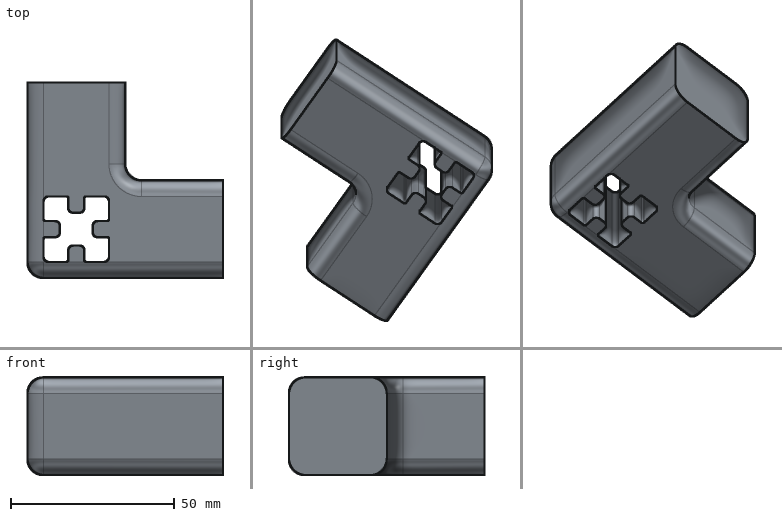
import cadquery as cq

arm_length = 60.0
arm_width = 30.0
wall = arm_width / 6
edge_radius = wall

socket_size = arm_width - 2 * wall
socket_corner_radius = 1.5
key_width = socket_size / 4
key_depth = key_width
key_tip_radius = 1.5
key_root_radius = 0.5


def make_elbow():
    """L-shaped body with rounded long edges and flat arm ends."""
    elbow = (
        cq.Workplane("XY")
        .moveTo(0, 0)
        .lineTo(arm_length, 0)
        .lineTo(arm_length, arm_width)
        .lineTo(arm_width, arm_width)
        .lineTo(arm_width, arm_length)
        .lineTo(0, arm_length)
        .close()
        .extrude(arm_width)
    )
    outer_corner = cq.selectors.NearestToPointSelector((0, 0, arm_width / 2))
    inner_corner = cq.selectors.NearestToPointSelector((arm_width, arm_width, arm_width / 2))
    elbow = elbow.edges("|Z").edges(outer_corner).fillet(edge_radius)
    elbow = elbow.edges("|Z").edges(inner_corner).fillet(edge_radius)
    long_edges = elbow.faces("<Z or >Z").edges("not(>X or >Y)")
    return long_edges.fillet(edge_radius)


def make_key():
    """Key reaching inward from the +X wall of a socket centred on the origin."""
    key = cq.Workplane("XY").rect(key_depth, key_width).extrude(arm_width)
    key = key.edges("|Z and <X").fillet(key_tip_radius)
    return key.translate((socket_size / 2 - key_depth / 2, 0, 0))


def make_socket():
    """Through-opening for a T-slot profile: a rounded square less one key per side."""
    socket = cq.Workplane("XY").rect(socket_size, socket_size).extrude(arm_width)
    socket = socket.edges("|Z").fillet(socket_corner_radius)
    for side in range(4):
        socket = socket.cut(make_key().rotate((0, 0, 0), (0, 0, 1), 90 * side))

    half_size = socket_size / 2
    half_key = key_width / 2
    for wall_place in (-half_size, half_size):
        for side_place in (-half_key, half_key):
            for x, y in ((wall_place, side_place), (side_place, wall_place)):
                root = cq.selectors.NearestToPointSelector((x, y, arm_width / 2))
                socket = socket.edges("|Z").edges(root).fillet(key_root_radius)
    return socket.translate((arm_width / 2, arm_width / 2, 0))


result = make_elbow().cut(make_socket())